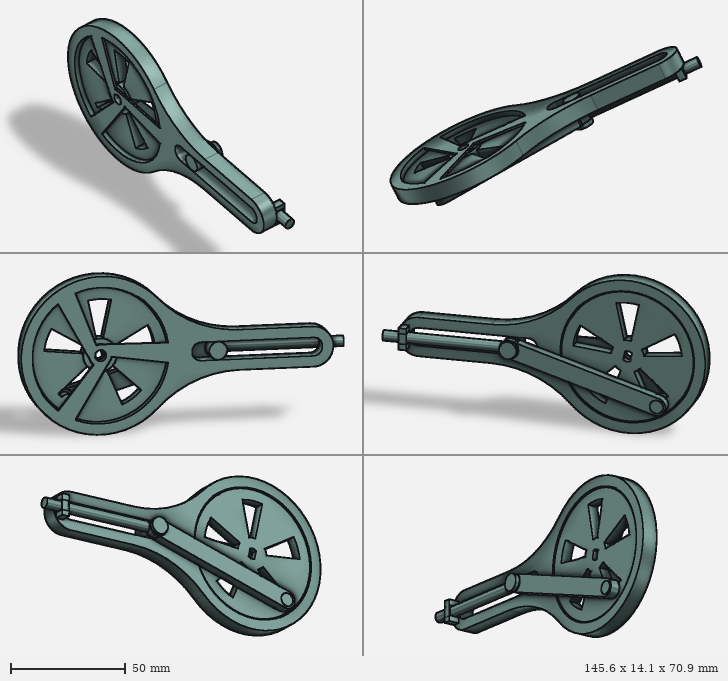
import cadquery as cq
import math


frame_depth = 7.5
rim_radius = 35.45
wheel_opening_radius = 30.5
neck_fillet_radius = 50.2
handle_half_width = 9.0
handle_end_x = 95.0
slot_start_x = 45.0
slot_radius = 4.15
spoke_count = 3
spoke_thickness = 1.0
spoke_root_half_width = 5.0
spoke_tip_half_width = 4.5
axle_radius = 5.0
axle_bore_radius = 2.5

wheel_radius = 30.0
wheel_back_y = -0.36
wheel_thickness = 5.02
wheel_hub_radius = 7.5
axle_clearance = 0.1
axle_engagement = 1.5
keyhole_half_width = 1.6
keyhole_angle = 12
window_count = 5
window_outer_radius = 24.9
window_half_angle = 12
crank_radius = 24.97
crank_angle = 234
crank_pin_radius = 3.0

link_length = 70.2
link_thickness = 5.02
link_half_width = 4.1
link_eye_radius = 3.6
recess_radius = 4.4
recess_depth = 0.5

block_radius = 4.0
slider_pin_radius = 2.0
head_height = 1.6
rod_radius = 2.4
rod_axis_y = 2.11
rod_end_x = 110.15

guide_start_x = 99.2
guide_length = 3.5
guide_half_height = 5.02

spoke_back_y = spoke_thickness - frame_depth
wheel_front_y = wheel_back_y - wheel_thickness
axle_back_y = wheel_front_y + axle_engagement
crank_x = crank_radius * math.cos(math.radians(crank_angle))
crank_z = crank_radius * math.sin(math.radians(crank_angle))
link_tilt = math.asin(-crank_z / link_length)
slider_x = crank_x + link_length * math.cos(link_tilt)
eye_front_y = recess_depth
eye_back_y = link_thickness - recess_depth


def section_at(y):
    """XZ sketch plane at the given y; a negative extrusion goes toward +Y."""
    return cq.Workplane("XZ", origin=(0, y, 0))


def disc(radius, y_from, y_to, x=0, z=0):
    """Cylinder along Y between two y levels."""
    return section_at(y_from).center(x, z).circle(radius).extrude(y_from - y_to)


def bar(x_from, x_to, half_width, y_from, y_to):
    """Round-ended bar along X between two end centres."""
    length = x_to - x_from + 2 * half_width
    middle = (x_from + x_to) / 2
    return section_at(y_from).center(middle, 0).slot2D(length, 2 * half_width).extrude(y_from - y_to)


def turned(body, angle):
    """Body turned about the wheel axis."""
    return body.rotate((0, 0, 0), (0, 1, 0), angle)


def frame_plate():
    """Round rim blended into the handle by a tangent fillet on either side."""
    centre_z = handle_half_width + neck_fillet_radius
    centre_distance = rim_radius + neck_fillet_radius
    centre_x = math.sqrt(centre_distance ** 2 - centre_z ** 2)
    rim_share = rim_radius / centre_distance
    joint = (centre_x * rim_share, centre_z * rim_share)
    joint_angle = math.atan2(-centre_z, -centre_x) + 2 * math.pi
    middle_angle = (joint_angle + 1.5 * math.pi) / 2
    middle = (
        centre_x + neck_fillet_radius * math.cos(middle_angle),
        centre_z + neck_fillet_radius * math.sin(middle_angle),
    )
    return (
        section_at(-frame_depth)
        .moveTo(*joint)
        .threePointArc(middle, (centre_x, handle_half_width))
        .lineTo(handle_end_x, handle_half_width)
        .threePointArc((handle_end_x + handle_half_width, 0), (handle_end_x, -handle_half_width))
        .lineTo(centre_x, -handle_half_width)
        .threePointArc((middle[0], -middle[1]), (joint[0], -joint[1]))
        .threePointArc((-rim_radius, 0), joint)
        .close()
        .extrude(-frame_depth)
    )


def spoke():
    """Thin spoke along +X, one edge tangent to the axle and the other starting at its centre."""
    reach = (wheel_opening_radius + rim_radius) / 2
    corners = [
        (0, spoke_root_half_width),
        (wheel_opening_radius, spoke_tip_half_width),
        (reach, spoke_tip_half_width),
        (reach, -spoke_tip_half_width),
        (wheel_opening_radius, -spoke_tip_half_width),
        (0, 0),
    ]
    return section_at(-frame_depth).polyline(corners).close().extrude(-spoke_thickness)


def box_along_x(x_from, x_to, y_from, y_to, half_height):
    """Box centred on z = 0."""
    size = (x_to - x_from, y_to - y_from, 2 * half_height)
    return cq.Workplane("XY").box(*size, centered=(False, False, True)).translate((x_from, y_from, 0))


def rod_guide():
    """Block on the back of the handle."""
    return box_along_x(guide_start_x, guide_start_x + guide_length, 0, link_thickness, guide_half_height)


def rod_passage():
    """Square passage through the guide, sunk slightly into the back of the handle."""
    return box_along_x(handle_end_x, rod_end_x, rod_axis_y - rod_radius, rod_axis_y + rod_radius, rod_radius)


def make_frame():
    frame = frame_plate()
    frame = frame.cut(disc(wheel_opening_radius, -frame_depth, 0))
    frame = frame.cut(bar(slot_start_x, handle_end_x, slot_radius, -frame_depth, 0))
    for i in range(spoke_count):
        frame = frame.union(turned(spoke(), i * 360 / spoke_count))
    frame = frame.union(disc(axle_radius, -frame_depth, axle_back_y))
    frame = frame.cut(disc(axle_bore_radius, -frame_depth, axle_back_y))
    return frame.union(rod_guide()).cut(rod_passage())


def wheel_window():
    """Sector-shaped window along +Z; its inner end lies inside the hub."""
    sine = math.sin(math.radians(window_half_angle))
    cosine = math.cos(math.radians(window_half_angle))
    inner, outer = axle_radius, window_outer_radius
    return (
        section_at(wheel_front_y)
        .moveTo(-inner * sine, inner * cosine)
        .threePointArc((0, inner), (inner * sine, inner * cosine))
        .lineTo(outer * sine, outer * cosine)
        .threePointArc((0, outer), (-outer * sine, outer * cosine))
        .close()
        .extrude(-wheel_thickness)
    )


def keyhole():
    """Through hole behind the axle with two flat sides."""
    flats = cq.Workplane("XY").box(2 * keyhole_half_width, 2 * frame_depth, 2 * axle_radius)
    return turned(disc(axle_bore_radius, -frame_depth, 0).intersect(flats), -keyhole_angle)


def make_wheel():
    wheel = disc(wheel_radius, wheel_front_y, wheel_back_y)
    for i in range(window_count):
        wheel = wheel.cut(turned(wheel_window(), i * 360 / window_count))
    wheel = wheel.union(disc(wheel_hub_radius, spoke_back_y, wheel_back_y))
    wheel = wheel.cut(disc(axle_radius + axle_clearance, spoke_back_y, axle_back_y))
    wheel = wheel.cut(keyhole())
    return wheel.union(disc(crank_pin_radius, wheel_front_y, link_thickness, crank_x, crank_z))


def make_link():
    link = bar(0, link_length, link_half_width, 0, link_thickness)
    link = link.cut(disc(recess_radius, 0, link_thickness, link_length))
    link = link.union(bar(link_length - 2 * recess_radius, link_length, link_eye_radius, eye_front_y, eye_back_y))
    link = link.cut(disc(slider_pin_radius, 0, link_thickness, link_length))
    link = link.cut(disc(recess_radius, 0, recess_depth))
    link = link.cut(disc(crank_pin_radius, 0, link_thickness))
    return turned(link, -math.degrees(link_tilt)).translate((crank_x, 0, crank_z))


def make_slider():
    rod = cq.Workplane("YZ", origin=(slider_x, 0, 0)).center(rod_axis_y, 0)
    rod = rod.circle(rod_radius).extrude(rod_end_x - slider_x)
    rod = rod.cut(disc(recess_radius, eye_front_y, eye_back_y, slider_x))
    slider = disc(block_radius, -frame_depth, eye_front_y, slider_x)
    slider = slider.union(disc(slider_pin_radius, eye_front_y, eye_back_y, slider_x))
    slider = slider.union(disc(block_radius, eye_back_y, link_thickness + head_height, slider_x))
    return slider.union(rod)


frame = make_frame()
wheel = make_wheel()
link = make_link()
slider = make_slider()
result = cq.Compound.makeCompound([frame.val(), wheel.val(), link.val(), slider.val()])